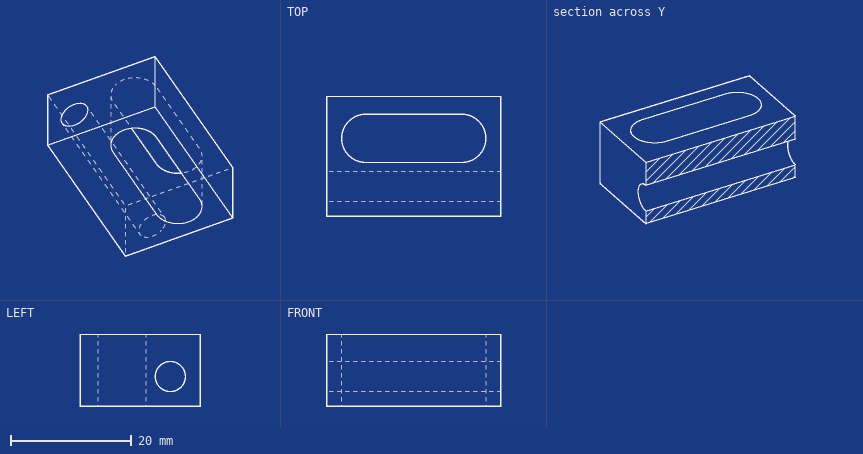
import cadquery as cq

length = 29.0
depth = 20.0
height = 12.0

slot_length = 24.0
slot_width = 8.0
back_wall = 3.0
slot_center_y = depth / 2 - back_wall - slot_width / 2

bore_diameter = 5.0
bore_edge_distance = 5.0
bore_y = -depth / 2 + bore_edge_distance
bore_z = bore_edge_distance


def make_block():
    return cq.Workplane("XY").box(length, depth, height, centered=(True, True, False))


def make_slot():
    return (
        cq.Workplane("XY")
        .center(0, slot_center_y)
        .slot2D(slot_length, slot_width)
        .extrude(height)
    )


def make_bore():
    return (
        cq.Workplane("YZ")
        .center(bore_y, bore_z)
        .circle(bore_diameter / 2)
        .extrude(length / 2, both=True)
    )


result = make_block().cut(make_slot()).cut(make_bore())